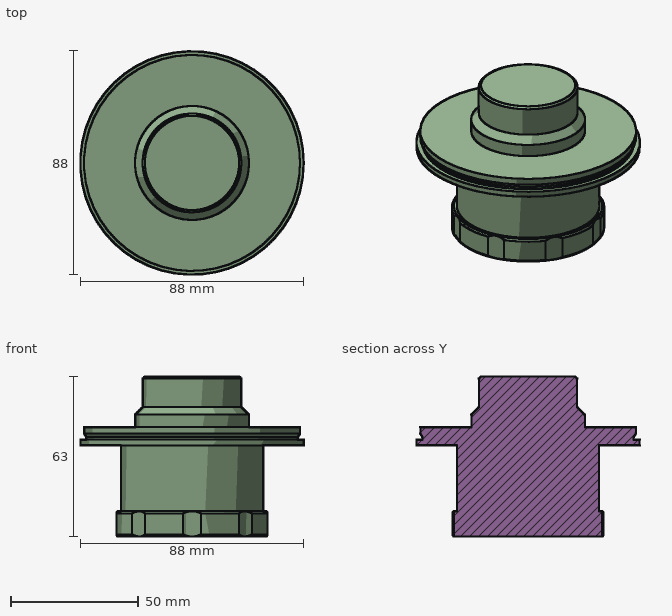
import cadquery as cq
import math

total_height = 63.0
nut_height = 9.9
flange_bottom = 35.9
flange_top = 38.1
lip_cone_bottom = 39.1
lip_cone_top = 40.5
lip_top = 43.0
shoulder_cone_bottom = 48.0

flange_radius = 44.0
lip_radius = 42.5
neck_radius = 41.7
body_radius = 28.1
nut_radius = 30.0
shoulder_radius = 22.4
cap_radius = 19.45

cap_chamfer = 0.9
nut_chamfer = 0.8

notch_count = 8
notch_width = 7.0
notch_depth = 0.8


def disc(radius, bottom, top):
    """Cylinder on the Z axis between two heights."""
    return cq.Workplane("XY").workplane(offset=bottom).circle(radius).extrude(top - bottom)


def make_nut():
    """Chamfered nut with shallow, vertical round notches in its rim."""
    nut = disc(nut_radius, 0, nut_height).faces("<Z or >Z").edges().chamfer(nut_chamfer)
    half_width = notch_width / 2
    rim_distance = math.sqrt(nut_radius**2 - half_width**2)
    sagitta = rim_distance - (nut_radius - notch_depth)
    notch_radius = (half_width**2 + sagitta**2) / (2 * sagitta)
    axis_distance = nut_radius - notch_depth + notch_radius
    notches = (
        cq.Workplane("XY")
        .polarArray(axis_distance, 0, 360, notch_count)
        .circle(notch_radius)
        .extrude(nut_height)
    )
    return nut.cut(notches)


def make_flange():
    """Flange with a narrow neck and an undercut lip above it."""
    profile = [
        (0, flange_bottom),
        (flange_radius, flange_bottom),
        (flange_radius, flange_top),
        (neck_radius, flange_top),
        (neck_radius, lip_cone_bottom),
        (lip_radius, lip_cone_top),
        (lip_radius, lip_top),
        (0, lip_top),
    ]
    return cq.Workplane("XZ").polyline(profile).close().revolve(360, (0, 0), (0, 1))


def make_cap():
    """Shoulder that tapers at 45 degrees into a chamfered cap."""
    shoulder_cone_top = shoulder_cone_bottom + shoulder_radius - cap_radius
    profile = [
        (0, lip_top),
        (shoulder_radius, lip_top),
        (shoulder_radius, shoulder_cone_bottom),
        (cap_radius, shoulder_cone_top),
        (cap_radius, total_height - cap_chamfer),
        (cap_radius - cap_chamfer, total_height),
        (0, total_height),
    ]
    return cq.Workplane("XZ").polyline(profile).close().revolve(360, (0, 0), (0, 1))


body = disc(body_radius, 0, flange_bottom)
result = body.union(make_nut()).union(make_flange()).union(make_cap())